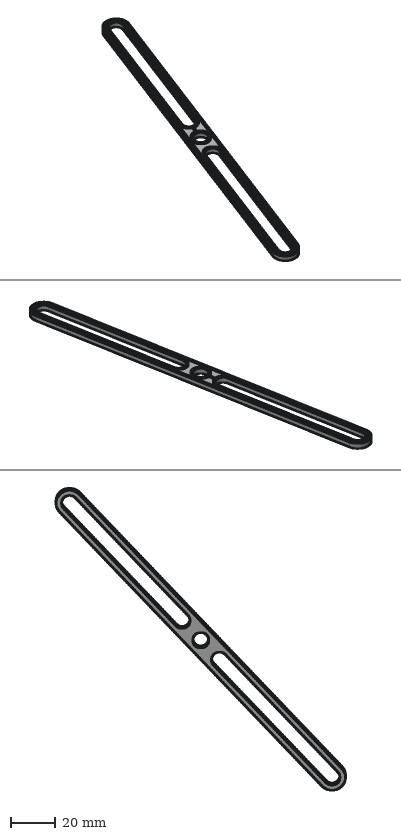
import cadquery as cq

length = 187.5
pitch_count = 15
thickness = 3.2
opening_width = 7.0
collar_width = 9.2
rim_width = 1.0
web_recess = 0.47
edge_chamfer = 0.28
rib_width = 0.5

pitch = length / pitch_count
width = pitch
slot_inner_center = pitch
slot_outer_center = (length - width) / 2
slot_middle = (slot_inner_center + slot_outer_center) / 2
slot_center_distance = slot_outer_center - slot_inner_center
web_top = thickness - web_recess


def opening_solids(size, bottom, height):
    """Central disc and two long slot shapes of equal width, standing on z = bottom."""
    plane = cq.Workplane("XY").workplane(offset=bottom)
    disc = plane.circle(size / 2).extrude(height)
    slots = (
        plane.pushPoints([(-slot_middle, 0), (slot_middle, 0)])
        .slot2D(slot_center_distance + size, size)
        .extrude(height)
    )
    return disc.union(slots)


def chamfered_bar():
    """Round-ended bar with its openings, chamfered on the top and bottom edges."""
    blank = cq.Workplane("XY").slot2D(length, width).extrude(thickness)
    openings = opening_solids(opening_width, 0, thickness)
    return blank.cut(openings).faces("<Z or >Z").chamfer(edge_chamfer)


def web_pocket():
    """Recess between the rim and the collars, interrupted by the small rib."""
    plane = cq.Workplane("XY").workplane(offset=web_top)
    inside_rim = plane.slot2D(length - 2 * rim_width, width - 2 * rim_width).extrude(web_recess)
    collars = opening_solids(collar_width, web_top, web_recess)
    rib = plane.center(-slot_inner_center / 2, 0).rect(slot_inner_center, rib_width).extrude(web_recess)
    return inside_rim.cut(collars).cut(rib)


result = chamfered_bar().cut(web_pocket())